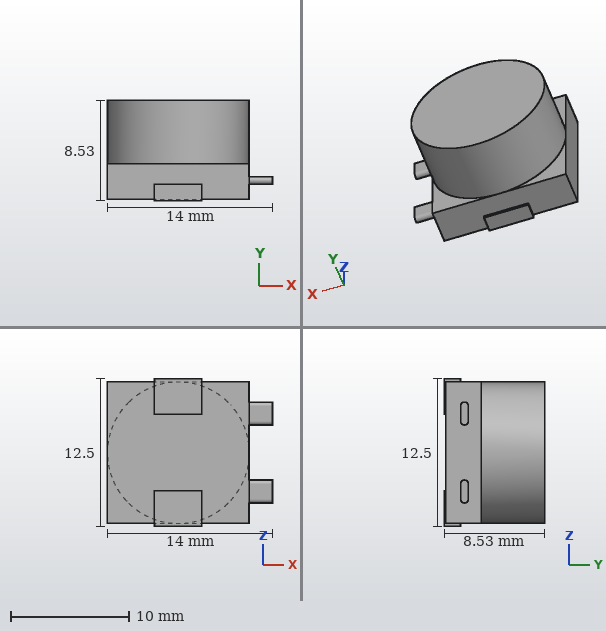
import cadquery as cq

BASE_SIDE = 12.0
BASE_DEPTH = 3.0

BODY_DIAMETER = BASE_SIDE
BODY_LENGTH = 5.4

TAB_WIDTH = 4.0
TAB_FRONT_THICKNESS = 0.13
TAB_SIDE_THICKNESS = 0.255
TAB_FRONT_HEIGHT = 3.0
TAB_SIDE_LENGTH = 1.4

PIN_LENGTH = 2.0
PIN_THICKNESS = 0.65
PIN_HEIGHT = 1.95
PIN_CENTRE_Y = 1.6
PIN_SPACING = 6.6


def make_base():
    return cq.Workplane("XY").box(BASE_SIDE, BASE_DEPTH, BASE_SIDE).translate((0, BASE_DEPTH / 2, 0))


def make_body():
    plane = cq.Workplane("XZ", origin=(0, BASE_DEPTH, 0))
    return plane.circle(BODY_DIAMETER / 2).extrude(-BODY_LENGTH)


def make_top_tab():
    base_top = BASE_SIDE / 2
    tab_top = base_top + TAB_SIDE_THICKNESS
    tab_front = -TAB_FRONT_THICKNESS
    side_leg_end = tab_front + TAB_SIDE_LENGTH
    front_leg_end = tab_top - TAB_FRONT_HEIGHT
    profile = [
        (tab_front, front_leg_end),
        (0, front_leg_end),
        (0, base_top),
        (side_leg_end, base_top),
        (side_leg_end, tab_top),
        (tab_front, tab_top),
    ]
    return cq.Workplane("YZ").polyline(profile).close().extrude(TAB_WIDTH / 2, both=True)


def make_pin(centre_z):
    plane = cq.Workplane("YZ", origin=(BASE_SIDE / 2, PIN_CENTRE_Y, centre_z))
    return plane.slot2D(PIN_HEIGHT, PIN_THICKNESS, angle=90).extrude(PIN_LENGTH)


top_tab = make_top_tab()
bottom_tab = top_tab.mirror("XY")

result = make_base().union(make_body()).union(top_tab).union(bottom_tab)
for pin_z in (-PIN_SPACING / 2, PIN_SPACING / 2):
    result = result.union(make_pin(pin_z))